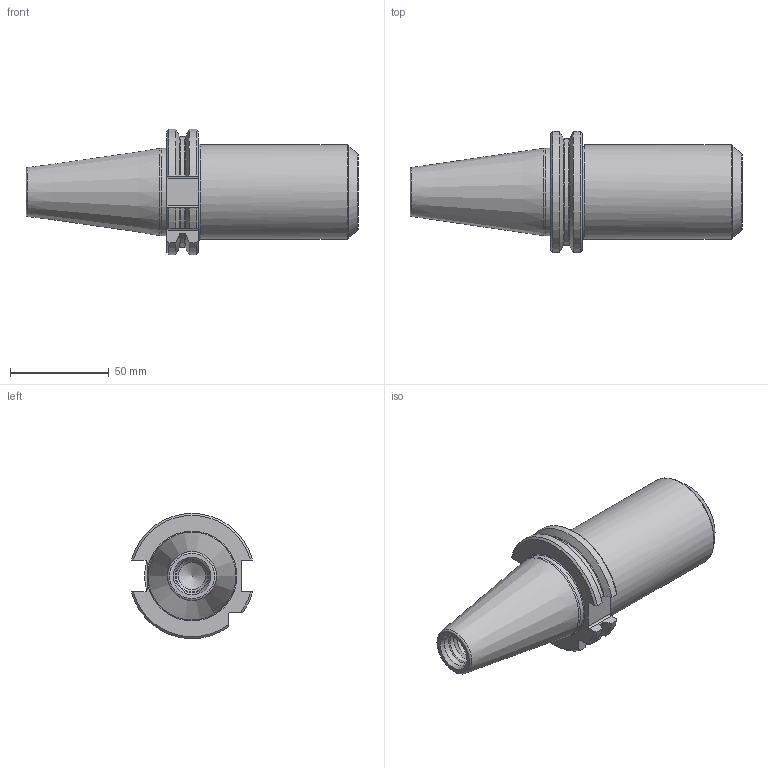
import cadquery as cq
import math

SHANK_LENGTH = 68.25
REACH = 100.0
FLANGE_END = 19.1
FLANGE_WIDTH = 15.9
FLANGE_START = FLANGE_END - FLANGE_WIDTH
GROOVE_CENTRE = 11.1

GAUGE_RADIUS = 44.45 / 2
TAPER_RATIO = 7 / 24 / 2
SHANK_END_FILLET = 1.0
GAUGE_BLEND_RADIUS = 7.0
SHANK_ROOT_FILLET = 0.5
FLANGE_RADIUS = 63.51 / 2
FLANGE_RIM_CHAMFER = 1.0
FLANGE_ROOT_FILLET = 1.0
BODY_RADIUS = 24.0
NOSE_LENGTH = 5.0
NOSE_BASE_RADIUS = 23.2
NOSE_CONE_ANGLE = 38.0
NOSE_END_FILLET = 1.0
BODY_EDGE_FILLET = 0.5

GROOVE_WIDTH = 7.0
GROOVE_ROOT_RADIUS = 56.25 / 2
GROOVE_ROOT_FILLET = 0.5
GROOVE_FLANK_ANGLE = 30.0

SLOT_WIDTH = 16.15
SLOT_FLOOR_POS_Y = 22.8
SLOT_FLOOR_NEG_Y = 25.0
SLOT_CORNER_FILLET = 1.0
NOTCH_FLOOR = 18.5
NOTCH_CORNER_FILLET = 1.0

MOUTH_RADIUS = 9.5
MOUTH_DEPTH = 2.0
PILOT_RADIUS = 17.0 / 2
PILOT_DEPTH = 5.0
STEP_RADIUS = 16.0 / 2
STEP_END_DEPTH = 8.2
CORE_RADIUS = 13.835 / 2
CORE_START_DEPTH = 9.5
CORE_DEPTH = 40.0
DRILL_POINT_ANGLE = 118.0


def revolve_about_x(profile):
    """Turn a closed (X, radius) profile a full revolution about the X axis."""
    return profile.close().revolve(360, (0, 0, 0), (1, 0, 0))


def make_turned_body():
    shank_end_radius = GAUGE_RADIUS - SHANK_LENGTH * TAPER_RATIO
    groove_depth = FLANGE_RADIUS - GROOVE_ROOT_RADIUS
    flank_angle = math.radians(GROOVE_FLANK_ANGLE)
    groove_half_top = GROOVE_WIDTH / 2
    groove_half_root = groove_half_top - groove_depth * math.tan(flank_angle)

    root_tangent = GROOVE_ROOT_FILLET * math.tan((math.pi / 2 - flank_angle) / 2)
    root_half_inner = groove_half_root - root_tangent
    root_half_outer = groove_half_root + root_tangent * math.sin(flank_angle)
    root_outer_radius = GROOVE_ROOT_RADIUS + root_tangent * math.cos(flank_angle)

    rim_edge_radius = FLANGE_RADIUS - FLANGE_RIM_CHAMFER
    taper_angle = math.atan(TAPER_RATIO)
    shank_tangent = SHANK_END_FILLET * math.tan((math.pi / 2 - taper_angle) / 2)

    blend_length = GAUGE_BLEND_RADIUS * math.tan(taper_angle / 2)

    nose_angle = math.radians(NOSE_CONE_ANGLE)
    nose_start = REACH - NOSE_LENGTH
    nose_corner_radius = NOSE_BASE_RADIUS - NOSE_LENGTH * math.tan(nose_angle)
    nose_tangent = NOSE_END_FILLET * math.tan((math.pi / 2 - nose_angle) / 2)

    profile = (
        cq.Workplane("XY")
        .moveTo(-SHANK_LENGTH, 0)
        .lineTo(-SHANK_LENGTH, shank_end_radius - shank_tangent)
        .radiusArc(
            (
                -SHANK_LENGTH + shank_tangent * math.cos(taper_angle),
                shank_end_radius + shank_tangent * math.sin(taper_angle),
            ),
            SHANK_END_FILLET,
        )
        .lineTo(-blend_length * math.cos(taper_angle), GAUGE_RADIUS - blend_length * math.sin(taper_angle))
        .radiusArc((blend_length, GAUGE_RADIUS), GAUGE_BLEND_RADIUS)
        .lineTo(FLANGE_START - SHANK_ROOT_FILLET, GAUGE_RADIUS)
        .radiusArc((FLANGE_START, GAUGE_RADIUS + SHANK_ROOT_FILLET), -SHANK_ROOT_FILLET)
        .lineTo(FLANGE_START, rim_edge_radius)
        .lineTo(FLANGE_START + FLANGE_RIM_CHAMFER, FLANGE_RADIUS)
        .lineTo(GROOVE_CENTRE - groove_half_top, FLANGE_RADIUS)
        .lineTo(GROOVE_CENTRE - root_half_outer, root_outer_radius)
        .radiusArc((GROOVE_CENTRE - root_half_inner, GROOVE_ROOT_RADIUS), -GROOVE_ROOT_FILLET)
        .lineTo(GROOVE_CENTRE + root_half_inner, GROOVE_ROOT_RADIUS)
        .radiusArc((GROOVE_CENTRE + root_half_outer, root_outer_radius), -GROOVE_ROOT_FILLET)
        .lineTo(GROOVE_CENTRE + groove_half_top, FLANGE_RADIUS)
        .lineTo(FLANGE_END - FLANGE_RIM_CHAMFER, FLANGE_RADIUS)
        .lineTo(FLANGE_END, rim_edge_radius)
        .lineTo(FLANGE_END, BODY_RADIUS + FLANGE_ROOT_FILLET)
        .radiusArc((FLANGE_END + FLANGE_ROOT_FILLET, BODY_RADIUS), -FLANGE_ROOT_FILLET)
        .lineTo(nose_start - BODY_EDGE_FILLET, BODY_RADIUS)
        .radiusArc((nose_start, BODY_RADIUS - BODY_EDGE_FILLET), BODY_EDGE_FILLET)
        .lineTo(nose_start, NOSE_BASE_RADIUS)
        .lineTo(
            REACH - nose_tangent * math.cos(nose_angle),
            nose_corner_radius + nose_tangent * math.sin(nose_angle),
        )
        .radiusArc((REACH, nose_corner_radius - nose_tangent), NOSE_END_FILLET)
        .lineTo(REACH, 0)
    )
    return revolve_about_x(profile)


def make_pull_stud_hole():
    step_start_depth = PILOT_DEPTH + PILOT_RADIUS - STEP_RADIUS
    tip_depth = CORE_DEPTH + CORE_RADIUS / math.tan(math.radians(DRILL_POINT_ANGLE / 2))
    profile = (
        cq.Workplane("XY")
        .moveTo(0, 0)
        .lineTo(0, MOUTH_RADIUS)
        .lineTo(MOUTH_DEPTH, PILOT_RADIUS)
        .lineTo(PILOT_DEPTH, PILOT_RADIUS)
        .lineTo(step_start_depth, STEP_RADIUS)
        .lineTo(STEP_END_DEPTH, STEP_RADIUS)
        .lineTo(CORE_START_DEPTH, CORE_RADIUS)
        .lineTo(CORE_DEPTH, CORE_RADIUS)
        .lineTo(tip_depth, 0)
    )
    return revolve_about_x(profile).translate((-SHANK_LENGTH, 0, 0))


def make_drive_slot(floor, side):
    """Cutter for one drive slot, clearing the flange root fillet; side is +1 or -1 along Y."""
    depth = FLANGE_RADIUS
    slot_end = FLANGE_END + FLANGE_ROOT_FILLET
    return (
        cq.Workplane("XY")
        .box(slot_end - FLANGE_START, depth, SLOT_WIDTH)
        .translate(((FLANGE_START + slot_end) / 2, floor + depth / 2, 0))
        .edges("|X and <Y")
        .fillet(SLOT_CORNER_FILLET)
        .rotate((0, 0, 0), (1, 0, 0), 0 if side > 0 else 180)
    )


def make_orientation_notch():
    """Cutter for the square corner notch in the -Y, -Z quadrant of the flange."""
    size = FLANGE_RADIUS
    centre = -NOTCH_FLOOR - size / 2
    return (
        cq.Workplane("XY")
        .box(FLANGE_WIDTH, size, size)
        .translate(((FLANGE_START + FLANGE_END) / 2, centre, centre))
        .edges("|X and >Y and >Z")
        .fillet(NOTCH_CORNER_FILLET)
    )


result = (
    make_turned_body()
    .cut(make_pull_stud_hole())
    .cut(make_drive_slot(SLOT_FLOOR_POS_Y, 1))
    .cut(make_drive_slot(SLOT_FLOOR_NEG_Y, -1))
    .cut(make_orientation_notch())
)